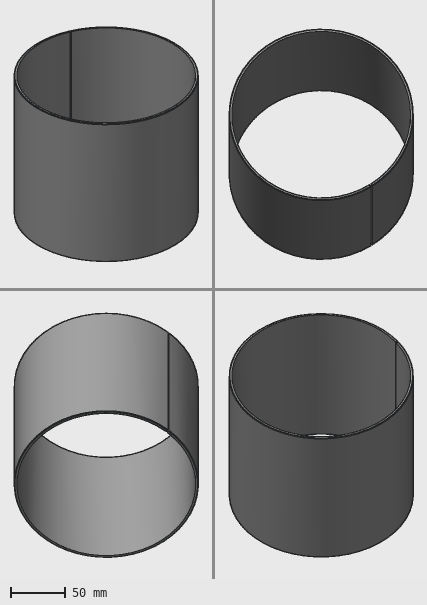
import cadquery as cq

outer_diameter = 170.0
height = 150.0
wall = 2.5
edge_chamfer = 0.7
slit_angle = 1.0

outer_radius = outer_diameter / 2

wall_section = (
    cq.Workplane("XZ")
    .moveTo(-outer_radius + wall, 0)
    .lineTo(-outer_radius + edge_chamfer, 0)
    .lineTo(-outer_radius, edge_chamfer)
    .lineTo(-outer_radius, height - edge_chamfer)
    .lineTo(-outer_radius + edge_chamfer, height)
    .lineTo(-outer_radius + wall, height)
    .close()
)

result = wall_section.revolve(360 - slit_angle, (0, 0, 0), (0, 1, 0))